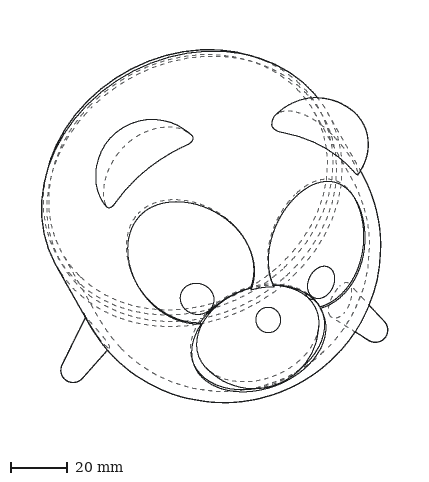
import cadquery as cq
import math

BODY_RADIUS = 55.0
WALL = 4.0
RIM_RADIUS = 53.0
RIM_LENGTH = 5.0
DOME_START_X = 50.0
DOME_ARC_RADIUS = 50.0
DOME_FLAT_RADIUS = BODY_RADIUS - DOME_ARC_RADIUS

EAR_RADIUS = 20.0
EAR_CENTER = (61.85, 30.0, 40.0)
EAR_EDGE_ROUND = 3.0

PATCH_RADIUS = 20.5
PATCH_DEPTH = 1.0
PATCH_AXIS_START = (DOME_START_X, 22.05, 16.85)
PATCH_AXIS = (1.0, 0.022, 0.0315)

EYE_RADIUS = 8.4
EYE_CENTER = (89.45, 20.5, 6.4)
MUZZLE_RADIUS = 23.0
MUZZLE_CENTER = (87.8, 0, -10.0)
NOSE_RADIUS = 5.6
NOSE_CENTER = (104.2, 0, 0)

SEAT_TILT = 12.6
SEAT_RADIUS = 24.5
SEAT_CENTER = (92.8, 0, -12.7)
SEAT_CUT_DEPTH = 10.0

LEG_TIP_RADIUS = 4.4
LEG_TIP_CENTER = (48.4, 55.26, -41.8)
LEG_DIRECTION = (0.42, 0.68, -0.60)
LEG_TAPER = 7.4
LEG_LENGTH = 24.0


def cup(arc_radius, start_x):
    """Solid of revolution about X: cylinder, quarter-round shoulder and small flat end."""
    outer = arc_radius + DOME_FLAT_RADIUS
    diagonal = arc_radius * math.sqrt(0.5)
    return (
        cq.Workplane("XY")
        .moveTo(start_x, 0)
        .lineTo(start_x, outer)
        .lineTo(DOME_START_X, outer)
        .threePointArc(
            (DOME_START_X + diagonal, DOME_FLAT_RADIUS + diagonal),
            (DOME_START_X + arc_radius, DOME_FLAT_RADIUS),
        )
        .lineTo(DOME_START_X + arc_radius, 0)
        .close()
        .revolve(360, (0, 0, 0), (1, 0, 0))
    )


def ball(radius, center):
    """Sphere whose seam faces -X, so that it stays buried inside the dome."""
    sphere = cq.Workplane("XY").sphere(radius)
    return sphere.rotate((0, 0, 0), (0, 1, 0), 180).translate(center)


def both_sides(shape):
    """The shape together with its mirror image across the XZ plane."""
    return shape, shape.mirror("XZ")


def rim():
    """Narrower lip around the open end."""
    return cq.Workplane("YZ").circle(RIM_RADIUS).extrude(RIM_LENGTH)


def ear():
    """Half ball facing +X with its flat side, the edge rounded."""
    half_ball = cq.Workplane("XY").sphere(EAR_RADIUS).rotate((0, 0, 0), (0, 1, 0), -90)
    front_half = cq.Workplane("YZ").circle(2 * EAR_RADIUS).extrude(2 * EAR_RADIUS)
    half_ball = half_ball.cut(front_half)
    return half_ball.faces(">X").edges().fillet(EAR_EDGE_ROUND).translate(EAR_CENTER)


def leg():
    """Cone that narrows onto a tangent ball at its tip."""
    taper = math.radians(LEG_TAPER)
    joint_radius = LEG_TIP_RADIUS * math.cos(taper)
    joint_height = LEG_TIP_RADIUS * math.sin(taper)
    root_radius = joint_radius + (LEG_LENGTH + joint_height) * math.tan(taper)
    leg_plane = cq.Plane(origin=LEG_TIP_CENTER, xDir=(1, 0, 0), normal=LEG_DIRECTION)
    peg = (
        cq.Workplane("XZ")
        .moveTo(0, -LEG_LENGTH)
        .lineTo(root_radius, -LEG_LENGTH)
        .lineTo(joint_radius, joint_height)
        .radiusArc((0, LEG_TIP_RADIUS), -LEG_TIP_RADIUS)
        .close()
        .revolve(360, (0, 0, 0), (0, 1, 0))
    )
    return cq.Workplane(peg.val().moved(cq.Location(leg_plane)))


def patch_recess():
    """Skin of the dome, PATCH_DEPTH thick, inside a circle projected along the patch axis."""
    plane = cq.Plane(origin=PATCH_AXIS_START, normal=PATCH_AXIS)
    column = cq.Workplane(plane).circle(PATCH_RADIUS).extrude(2 * DOME_ARC_RADIUS)
    return column.cut(cup(DOME_ARC_RADIUS - PATCH_DEPTH, 0))


def muzzle_seat():
    """Cutter whose flat floor faces forwards and down."""
    tilt = math.radians(SEAT_TILT)
    plane = cq.Plane(origin=SEAT_CENTER, xDir=(0, 1, 0), normal=(math.cos(tilt), 0, -math.sin(tilt)))
    return cq.Workplane(plane).circle(SEAT_RADIUS).extrude(SEAT_CUT_DEPTH)


head = cup(DOME_ARC_RADIUS, RIM_LENGTH).union(rim())
for recess in both_sides(patch_recess()):
    head = head.cut(recess)
head = head.cut(muzzle_seat())

for feature in (ear(), leg(), ball(EYE_RADIUS, EYE_CENTER)):
    for side in both_sides(feature):
        head = head.union(side)
head = head.union(ball(MUZZLE_RADIUS, MUZZLE_CENTER))
head = head.union(ball(NOSE_RADIUS, NOSE_CENTER))

result = head.cut(cup(DOME_ARC_RADIUS - WALL, 0))